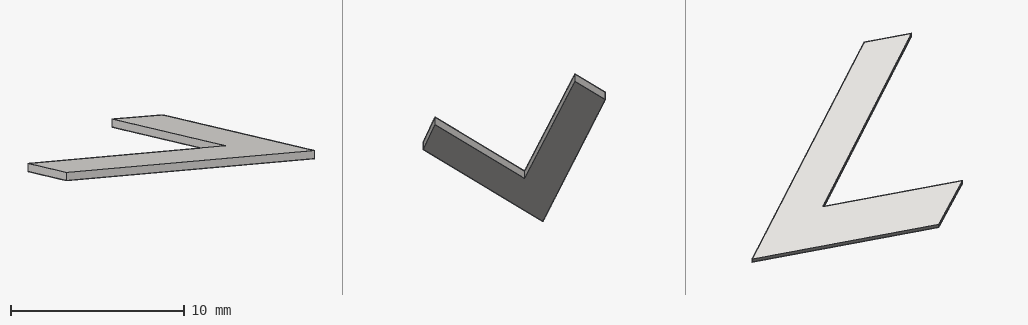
import cadquery as cq

length = 12.85
height = 11.87
thickness = 0.5

bar_width = 2.39
bar_end_offset = 1.88

foot_left = 1.1
foot_width = 2.79
inner_corner_x = 8.21

bar_bottom = height - bar_width

outline = [
    (0, bar_bottom),
    (inner_corner_x, bar_bottom),
    (foot_left, 0),
    (foot_left + foot_width, 0),
    (length, height),
    (bar_end_offset, height),
]

result = cq.Workplane("XY").polyline(outline).close().extrude(thickness)